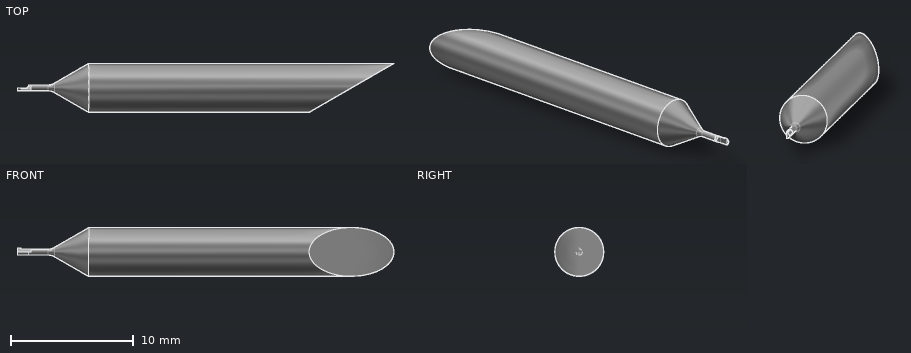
import cadquery as cq
import math

total_length = 30.71
shank_radius = 2.0
taper_angle = math.radians(30)

neck_axis_z = -0.015
neck_radius = 0.25
neck_length = 2.5
blend_radius = 1.0

tip_length = 1.1
tooth_width = 0.27
tooth_top_z = 0.33
relief_top_z = 0.25
flank_bulge = 0.015
flat_length = 0.7
flat_runout_radius = 0.2

blend_end = neck_length + blend_radius * math.sin(taper_angle)
blend_end_radius = neck_radius + blend_radius * (1 - math.cos(taper_angle))
blend_middle = neck_length + blend_radius * math.sin(taper_angle / 2)
blend_middle_radius = neck_radius + blend_radius * (1 - math.cos(taper_angle / 2))
end_cut_length = 2 * shank_radius / math.tan(taper_angle)

cone_overrun_radius = shank_radius + 2 * abs(neck_axis_z)
cone_overrun_end = blend_end + (cone_overrun_radius - blend_end_radius) / math.tan(taper_angle)


def make_neck_and_cone_envelope():
    """Neck, blend and cone revolved about the neck axis, continued straight to the rear."""
    profile = (
        cq.Workplane("XY")
        .lineTo(0, neck_radius)
        .lineTo(neck_length, neck_radius)
        .threePointArc((blend_middle, blend_middle_radius), (blend_end, blend_end_radius))
        .lineTo(cone_overrun_end, cone_overrun_radius)
        .lineTo(total_length, cone_overrun_radius)
        .lineTo(total_length, 0)
        .close()
    )
    return profile.revolve(360, (0, 0, 0), (1, 0, 0)).translate((0, 0, neck_axis_z))


def make_shank():
    """Full-length cylinder that bounds the tool."""
    return cq.Workplane("YZ").circle(shank_radius).extrude(total_length)


def make_end_cut():
    """Wedge that slopes the shank end, leaving it longest on the +Y side."""
    return (
        cq.Workplane("XY")
        .moveTo(total_length - end_cut_length, -shank_radius)
        .lineTo(total_length, -shank_radius)
        .lineTo(total_length, shank_radius)
        .close()
        .extrude(shank_radius, both=True)
    )


def make_tip_clearance():
    """Block that clears the upper half of the neck over the tip length."""
    return (
        cq.Workplane("XY", origin=(0, 0, neck_axis_z))
        .box(tip_length, 2 * shank_radius, shank_radius, centered=(False, True, False))
    )


def make_tip_roof():
    """Upper half of the tip: two convex flanks meeting in a ridge, lowered behind the tooth."""
    roof = (
        cq.Workplane("YZ")
        .moveTo(-neck_radius, neck_axis_z)
        .lineTo(neck_radius, neck_axis_z)
        .sagittaArc((0, tooth_top_z), -flank_bulge)
        .sagittaArc((-neck_radius, neck_axis_z), -flank_bulge)
        .close()
        .extrude(tip_length)
    )
    relief = (
        cq.Workplane("XY", origin=(tooth_width, 0, relief_top_z))
        .box(tip_length, 2 * neck_radius, neck_radius, centered=(False, True, False))
    )
    return roof.cut(relief)


def make_flat_cut():
    """Removes the +Y half of the tip, ending in a rounded run-out."""
    runout_diagonal = flat_runout_radius * math.sqrt(0.5)
    runout_end = flat_length + flat_runout_radius
    return (
        cq.Workplane("XY")
        .lineTo(flat_length, 0)
        .threePointArc(
            (flat_length + runout_diagonal, flat_runout_radius - runout_diagonal),
            (runout_end, flat_runout_radius),
        )
        .lineTo(runout_end, shank_radius)
        .lineTo(0, shank_radius)
        .close()
        .extrude(shank_radius, both=True)
    )


result = (
    make_shank()
    .intersect(make_neck_and_cone_envelope())
    .cut(make_end_cut())
    .cut(make_tip_clearance())
    .union(make_tip_roof())
    .cut(make_flat_cut())
)